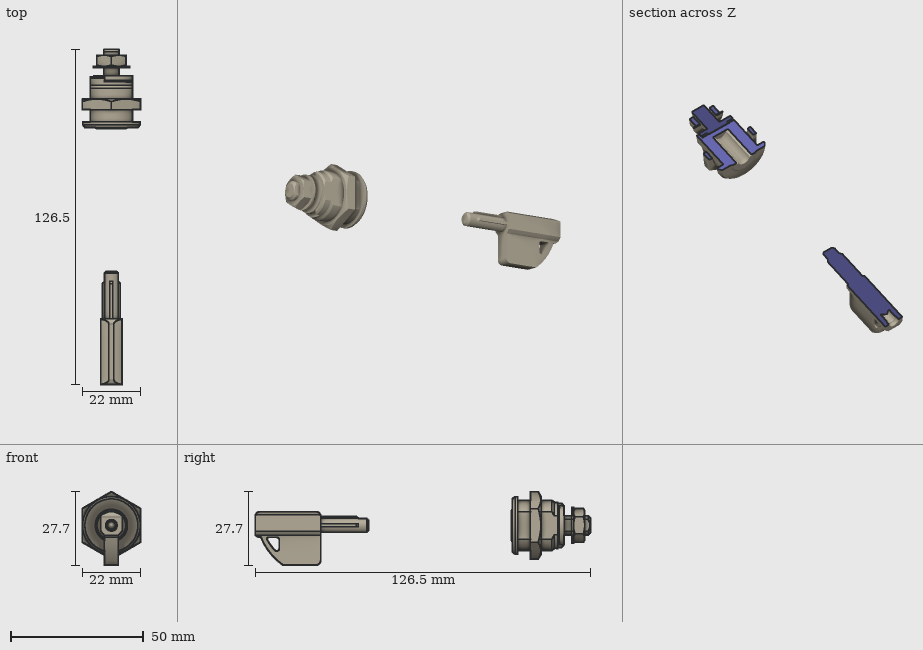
import cadquery as cq
import math

FAR = 63.2
TOTAL_LENGTH = 126.5
TOTAL_HEIGHT = 27.7
HEX_TURN = 30

BOSS_TOP_RADIUS = 5.5
BOSS_BASE_RADIUS = 6.1
BOSS_HEIGHT = 0.4
FLANGE_RADIUS = 10.9
FLANGE_FACE_RADIUS = 10.0
FLANGE_RIM_START = 1.5
FLANGE_BACK = 2.5
BARREL_RADIUS = 9.5
BARREL_END = 15.3
REAR_RADIUS = 8.7
REAR_START = 16.3
HOUSING_END = 19.6
REAR_CHAMFER = 0.6
BARREL_HALF_FLATS = 8.0
NOTCH_FLOOR = 17.6
NOTCH_SIDE_X = -2.5
SOCKET_DEPTH = 15.2

RING_NUT_FLATS = 22.0
RING_NUT_FRONT = 7.2
RING_NUT_BACK = 11.3
RING_NUT_FACE_RADIUS = 10.9

STUD_RADIUS = 3.7
STUD_HALF_FLATS = 2.9
STUD_END = 30.0
STUD_CHAMFER = 1.0
DISC_RADIUS = 7.3
DISC_OFFSET = BARREL_HALF_FLATS - DISC_RADIUS
DISC_FRONT = 18.2
DISC_BACK = 20.0
NECK_RADIUS = 4.8

WASHER_RADIUS = 6.8
WASHER_FRONT = 22.9
WASHER_BACK = 23.5
NUT_FLATS = 11.1
NUT_BACK = 27.7
NUT_FACE_RADIUS = 5.6
NUT_CHAMFER_ANGLE = 30.0

PIN_RADIUS = 2.7
PIN_TIP = -53.8
PIN_CHAMFER = 0.8
RIB_RADIUS = 3.4
RIB_WIDTH = 1.1
RIB_START = -57.5
RIB_FULL = -58.5
RIB_ANGLES = (0, 90, 180)

HANDLE_FRONT = -71.7
HANDLE_BACK = STUD_END - TOTAL_LENGTH
HANDLE_TOP = 5.2
HANDLE_HALF_WIDTH = 4.0
HANDLE_HALF_TOP = 0.95
TOP_BEVEL_Z = 3.9
LOWER_BEVEL_TOP_Z = -2.2
LOWER_BEVEL_END_Z = -3.7
GRIP_HALF_WIDTH = 2.7
GRIP_TOP = -4.4
GRIP_BOTTOM = RING_NUT_FLATS / math.sqrt(3) - TOTAL_HEIGHT
GRIP_ARC_START = -86.0
GRIP_ARC_MIDDLE = (-90.1, -11.4)
GRIP_ARC_END = -94.4
HANDLE_FILLET = 1.9
HEEL_LENGTH = 1.1
WINDOW_FRONT = -87.4
WINDOW_BACK = -92.3
WINDOW_TOP = -4.5
WINDOW_BOTTOM = -11.1
WINDOW_ARC_MIDDLE = (-90.3, -7.8)
WINDOW_FRONT_FILLET = 1.0
WINDOW_BACK_FILLET = 0.5
REAR_HOLE_RADIUS = 2.2
REAR_HOLE_STEP_DEPTH = 1.6
REAR_HOLE_INNER_RADIUS = 1.9
REAR_HOLE_DEPTH = 5.7
CONE_RADIUS = 1.5
CONE_HEIGHT = 1.4


def cylinder(radius, start, end, center_x=0.0):
    """Cylinder along Y from start to end."""
    circle = cq.Workplane("XZ", origin=(0, start, 0)).center(center_x, 0).circle(radius)
    return circle.extrude(start - end)


def turned(profile):
    """Solid of revolution about Y from (radius, y) points."""
    return cq.Workplane("XY").polyline(profile).close().revolve(360, (0, 0, 0), (0, 1, 0))


def slab(half_width):
    """Slab centred on X = 0 that trims a turned body to two flats."""
    return cq.Workplane("XY").box(2 * half_width, 2 * FAR, 2 * FAR)


def hexagon(flats, start, end):
    """Hexagonal prism along Y with two flats facing along X and corners on Z."""
    prism = cq.Workplane("XZ", origin=(0, start, 0)).polygon(6, 2 * flats / math.sqrt(3))
    return prism.extrude(start - end).rotate((0, 0, 0), (0, 1, 0), HEX_TURN)


def nut_envelope(flats, face_radius, front, back, front_chamfered):
    """Turned body whose cones trim the corners of a hexagon."""
    corner_radius = flats / math.sqrt(3)
    chamfer = (corner_radius - face_radius) * math.tan(math.radians(NUT_CHAMFER_ANGLE))
    profile = [(0, front)]
    if front_chamfered:
        profile += [(face_radius, front), (corner_radius, front + chamfer)]
    else:
        profile += [(corner_radius, front)]
    profile += [(corner_radius, back - chamfer), (face_radius, back), (0, back)]
    return turned(profile)


def pin_ribs(end):
    """Three ribs with sloped noses, from the pin axis outward, running back to `end`."""
    profile = [
        (0, RIB_START),
        (PIN_RADIUS, RIB_START),
        (RIB_RADIUS, RIB_FULL),
        (RIB_RADIUS, end),
        (0, end),
    ]
    rib = cq.Workplane("XY").polyline(profile).close().extrude(RIB_WIDTH / 2, both=True)
    ribs = cq.Workplane("XY")
    for angle in RIB_ANGLES:
        ribs = ribs.add(rib.rotate((0, 0, 0), (0, 1, 0), -angle))
    return ribs.combine()


def keyed_socket():
    """Blind hole with three keyways that takes the ribbed pin."""
    hole = cylinder(PIN_RADIUS, 0, SOCKET_DEPTH)
    for angle in RIB_ANGLES:
        keyway = cq.Workplane("XY").box(RIB_RADIUS, SOCKET_DEPTH, RIB_WIDTH, centered=(False, False, True))
        hole = hole.union(keyway.rotate((0, 0, 0), (0, 1, 0), -angle))
    return hole


def make_housing():
    flange = turned([
        (0, 0),
        (BOSS_TOP_RADIUS, 0),
        (BOSS_BASE_RADIUS, BOSS_HEIGHT),
        (FLANGE_FACE_RADIUS, BOSS_HEIGHT),
        (FLANGE_RADIUS, FLANGE_RIM_START),
        (FLANGE_RADIUS, FLANGE_BACK),
        (0, FLANGE_BACK),
    ])
    barrel = turned([
        (0, FLANGE_BACK),
        (BARREL_RADIUS, FLANGE_BACK),
        (BARREL_RADIUS, BARREL_END),
        (REAR_RADIUS, REAR_START),
        (REAR_RADIUS, HOUSING_END - REAR_CHAMFER),
        (REAR_RADIUS - REAR_CHAMFER, HOUSING_END),
        (0, HOUSING_END),
    ])
    notch = cq.Workplane("XY").box(FAR, FAR, FAR, centered=(False, False, True))
    notch = notch.translate((NOTCH_SIDE_X, NOTCH_FLOOR, 0))
    disc_recess = cylinder(DISC_RADIUS, NOTCH_FLOOR, HOUSING_END, DISC_OFFSET)
    housing = flange.union(barrel.intersect(slab(BARREL_HALF_FLATS)))
    return housing.cut(notch).cut(disc_recess).cut(keyed_socket())


def make_ring_nut():
    blank = hexagon(RING_NUT_FLATS, RING_NUT_FRONT, RING_NUT_BACK)
    envelope = nut_envelope(RING_NUT_FLATS, RING_NUT_FACE_RADIUS, RING_NUT_FRONT, RING_NUT_BACK, False)
    bore = cylinder(BARREL_RADIUS, RING_NUT_FRONT, RING_NUT_BACK)
    return blank.intersect(envelope).cut(bore)


def make_stud():
    neck = cylinder(NECK_RADIUS, NOTCH_FLOOR, DISC_FRONT, DISC_OFFSET)
    disc = cylinder(DISC_RADIUS, DISC_FRONT, DISC_BACK, DISC_OFFSET)
    shank = cylinder(STUD_RADIUS, DISC_BACK, STUD_END).faces(">Y").chamfer(STUD_CHAMFER)
    return neck.union(disc).union(shank.intersect(slab(STUD_HALF_FLATS)))


def make_washer():
    bore = cylinder(STUD_RADIUS, WASHER_FRONT, WASHER_BACK)
    return cylinder(WASHER_RADIUS, WASHER_FRONT, WASHER_BACK).cut(bore)


def make_terminal_nut():
    blank = hexagon(NUT_FLATS, WASHER_BACK, NUT_BACK)
    envelope = nut_envelope(NUT_FLATS, NUT_FACE_RADIUS, WASHER_BACK, NUT_BACK, True)
    bore = cylinder(STUD_RADIUS, WASHER_BACK, NUT_BACK)
    return blank.intersect(envelope).cut(bore)


def handle_side_profile():
    """Handle and grip seen along X, with rounded corners, as a plate of full handle width."""
    plate = (
        cq.Workplane("YZ", origin=(-HANDLE_HALF_WIDTH, 0, 0))
        .moveTo(HANDLE_FRONT, HANDLE_TOP)
        .lineTo(HANDLE_FRONT, GRIP_BOTTOM)
        .lineTo(GRIP_ARC_START, GRIP_BOTTOM)
        .threePointArc(GRIP_ARC_MIDDLE, (GRIP_ARC_END, GRIP_TOP))
        .lineTo(HANDLE_BACK + HEEL_LENGTH, GRIP_TOP)
        .lineTo(HANDLE_BACK, LOWER_BEVEL_END_Z)
        .lineTo(HANDLE_BACK, HANDLE_TOP)
        .close()
        .extrude(2 * HANDLE_HALF_WIDTH)
    )
    plate = plate.faces(">Z").edges("|X").fillet(HANDLE_FILLET)
    return plate.faces("<Z").edges("|X and >Y").fillet(HANDLE_FILLET)


def handle_cross_section():
    """Bar with bevelled edges above the thinner grip."""
    right_side = [
        (HANDLE_HALF_TOP, HANDLE_TOP),
        (HANDLE_HALF_WIDTH, TOP_BEVEL_Z),
        (HANDLE_HALF_WIDTH, LOWER_BEVEL_TOP_Z),
        (GRIP_HALF_WIDTH, LOWER_BEVEL_END_Z),
        (GRIP_HALF_WIDTH, GRIP_BOTTOM),
    ]
    left_side = [(-x, z) for x, z in reversed(right_side)]
    section = cq.Workplane("XZ", origin=(0, HANDLE_FRONT, 0)).polyline(right_side + left_side)
    return section.close().extrude(HANDLE_FRONT - HANDLE_BACK)


def grip_window():
    """Rounded three-sided opening that follows the curved rear of the grip."""
    window = (
        cq.Workplane("YZ", origin=(-HANDLE_HALF_WIDTH, 0, 0))
        .moveTo(WINDOW_FRONT, WINDOW_TOP)
        .lineTo(WINDOW_FRONT, WINDOW_BOTTOM)
        .threePointArc(WINDOW_ARC_MIDDLE, (WINDOW_BACK, WINDOW_TOP))
        .close()
        .extrude(2 * HANDLE_HALF_WIDTH)
    )
    window = window.edges("|X and <Y").fillet(WINDOW_BACK_FILLET)
    return window.edges("|X and >Y").fillet(WINDOW_FRONT_FILLET)


def handle_rear_hole():
    """Stepped blind hole with a pointed cone standing on its floor."""
    step = HANDLE_BACK + REAR_HOLE_STEP_DEPTH
    floor = HANDLE_BACK + REAR_HOLE_DEPTH
    mouth = cylinder(REAR_HOLE_RADIUS, HANDLE_BACK, step)
    cone = turned([(0, floor - CONE_HEIGHT), (CONE_RADIUS, floor), (0, floor)])
    return mouth.union(cylinder(REAR_HOLE_INNER_RADIUS, step, floor)).cut(cone)


def make_plug():
    pin = cylinder(PIN_RADIUS, HANDLE_FRONT, PIN_TIP).faces(">Y").chamfer(PIN_CHAMFER)
    handle = handle_side_profile().intersect(handle_cross_section())
    handle = handle.cut(grip_window()).cut(handle_rear_hole())
    return handle.union(pin).union(pin_ribs(HANDLE_FRONT))


housing = make_housing()
ring_nut = make_ring_nut()
stud = make_stud()
washer = make_washer()
terminal_nut = make_terminal_nut()
plug = make_plug()

result = cq.Compound.makeCompound([
    housing.val(),
    ring_nut.val(),
    stud.val(),
    washer.val(),
    terminal_nut.val(),
    plug.val(),
])